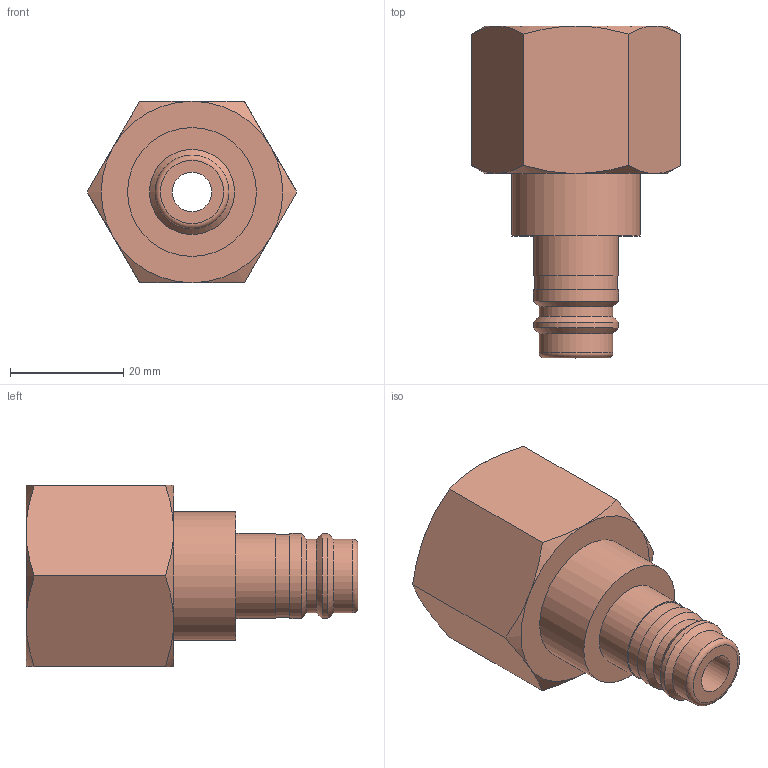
import cadquery as cq
import math

hex_across_flats = 32.0
hex_length = 26.0
hex_chamfer_angle = 30.0
hex_sides = 6

collar_diameter = 22.7
collar_length = 11.0

nipple_diameter = 15.0
nipple_length = 21.5
relief_diameter = 14.6
relief_start = 7.0
relief_end = 9.5
neck_diameter = 13.0
shoulder_end = 11.55
shoulder_bevel_length = 0.9
ring_start = 14.2
ring_length = 3.05
ring_bevel_length = 1.05
tip_fillet = 0.9

bore_diameter = 7.0

collar_end = hex_length + collar_length
total_length = collar_end + nipple_length
hex_corner_diameter = hex_across_flats / math.cos(math.pi / hex_sides)


def revolve_about_axis(profile):
    """Revolve (radius, distance from back face) points about the Y axis."""
    points = [(radius, -distance) for radius, distance in profile]
    return cq.Workplane("XY").polyline(points).close().revolve(360, (0, 0, 0), (0, 1, 0))


def make_hexagon():
    """Hexagon bar with conical corner chamfers at both ends and flats facing +Z and -Z."""
    prism = cq.Workplane("XZ").polygon(hex_sides, hex_corner_diameter).extrude(hex_length)
    face_radius = hex_across_flats / 2
    envelope_radius = hex_corner_diameter
    slope = math.tan(math.radians(hex_chamfer_angle))
    chamfer_depth = (envelope_radius - face_radius) * slope
    envelope = revolve_about_axis([
        (0, 0),
        (face_radius, 0),
        (envelope_radius, chamfer_depth),
        (envelope_radius, hex_length - chamfer_depth),
        (face_radius, hex_length),
        (0, hex_length),
    ])
    return prism.intersect(envelope)


def make_collar():
    """Plain cylinder between the hexagon and the nipple."""
    return revolve_about_axis([
        (0, 0),
        (collar_diameter / 2, 0),
        (collar_diameter / 2, collar_end),
        (0, collar_end),
    ])


def make_nipple():
    """Stepped plug with a shallow relief, a bevelled shoulder, a locking ring and a rounded tip."""
    nipple_radius = nipple_diameter / 2
    relief_radius = relief_diameter / 2
    neck_radius = neck_diameter / 2
    ring_end = ring_start + ring_length
    steps = [
        (0, 0),
        (nipple_radius, 0),
        (nipple_radius, relief_start),
        (relief_radius, relief_start),
        (relief_radius, relief_end),
        (nipple_radius, relief_end),
        (nipple_radius, shoulder_end),
        (neck_radius, shoulder_end + shoulder_bevel_length),
        (neck_radius, ring_start),
        (nipple_radius, ring_start + ring_bevel_length),
        (nipple_radius, ring_end - ring_bevel_length),
        (neck_radius, ring_end),
        (neck_radius, nipple_length),
        (0, nipple_length),
    ]
    nipple = revolve_about_axis([(radius, collar_end + offset) for radius, offset in steps])
    return nipple.faces("<Y").edges().fillet(tip_fillet)


def make_bore():
    """Through bore along the whole part."""
    return cq.Workplane("XZ").circle(bore_diameter / 2).extrude(total_length)


result = make_hexagon().union(make_collar()).union(make_nipple()).cut(make_bore())